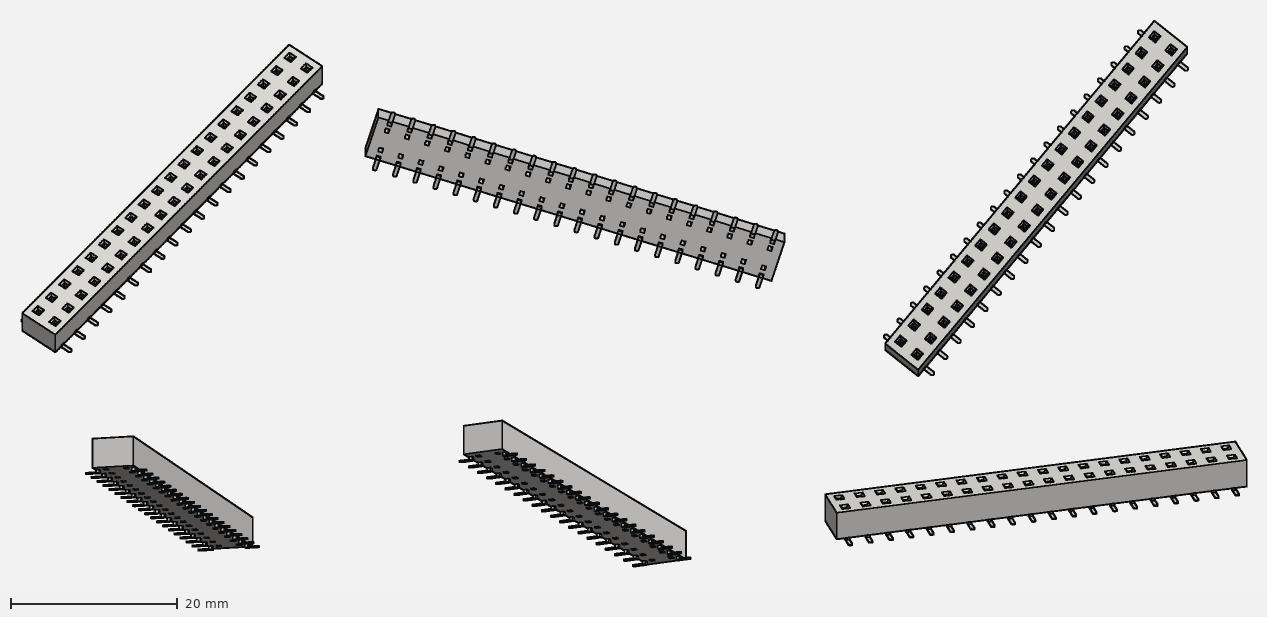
import cadquery as cq

length = 51.2
width = 5.1
overall_height = 4.0
standoff = 0.4
body_height = overall_height - standoff

row_count = 20
column_count = 2
row_span = 48.3
pitch = row_span / (row_count - 1)
row_shift = 0.045

socket_size = 0.5
funnel_depth = 0.25
funnel_mouth = socket_size + 2 * funnel_depth

foot_span = 7.65
foot_thickness = 0.1
foot_tip_radius = 0.23
pin_width = 0.5
leg_inner = 2.05
leg_thickness = 0.4
leg_embed = 0.1


def make_housing():
    """Rectangular block held above the ground plane by the pins."""
    return cq.Workplane("XY", origin=(0, 0, standoff)).rect(width, length).extrude(body_height)


def make_socket():
    """Funnelled square hole through the full height of the housing, centred on the Z axis."""
    funnel = (
        cq.Workplane("XY", origin=(0, 0, overall_height))
        .rect(funnel_mouth, funnel_mouth)
        .workplane(offset=-funnel_depth)
        .rect(socket_size, socket_size)
        .loft(ruled=True)
    )
    hole = cq.Workplane("XY").rect(socket_size, socket_size).extrude(overall_height - funnel_depth)
    return funnel.union(hole).val()


def make_pin():
    """L-shaped pin whose foot points toward +X, centred on Y = 0."""
    leg_outer = leg_inner + leg_thickness
    leg_top = standoff + leg_embed
    foot_tip = foot_span / 2
    profile = [
        (leg_inner, 0),
        (foot_tip, 0),
        (foot_tip, foot_thickness),
        (leg_outer, foot_thickness),
        (leg_outer, leg_top),
        (leg_inner, leg_top),
    ]
    pin = cq.Workplane("XZ").polyline(profile).close().extrude(pin_width / 2, both=True)
    return pin.faces(">X").edges("|Z").fillet(foot_tip_radius)


def grid_copies(shape, columns):
    """Copies of a shape at every grid row, in the given number of columns."""
    return (
        cq.Workplane("XY", origin=(0, row_shift, 0))
        .rarray(pitch, pitch, columns, row_count)
        .eachpoint(lambda location: shape.moved(location), combine=False)
        .combine()
    )


pin_right = make_pin()
pin_pair = pin_right.add(pin_right.mirror("YZ")).combine().val()

sockets = grid_copies(make_socket(), column_count)
pins = grid_copies(pin_pair, 1)

result = make_housing().cut(sockets).union(pins).solids()